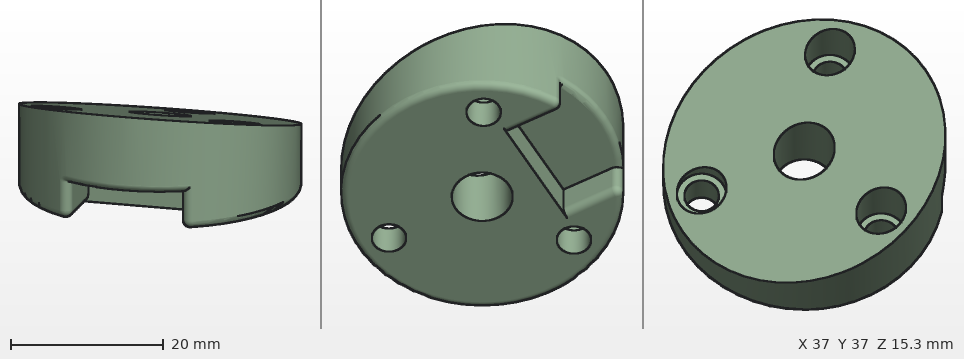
import cadquery as cq
import math

diameter = 37.0
radius = diameter / 2
front_height = 15.28
top_tilt = 15.0
edge_radius = 1.0

bore_diameter = 8.0
screw_circle_radius = 14.0
screw_angles = (90, 210, 330)
screw_diameter = 4.5
counterbore_diameter = 6.5
counterbore_floor = 5.0

notch_width = 15.02
notch_height = 5.0
notch_back_y = -8.0


def wedge_disc():
    """Round disc with a rounded bottom rim, cut off by a top plane that falls toward +Y."""
    back_height = front_height - diameter * math.tan(math.radians(top_tilt))
    disc = cq.Workplane("XY").circle(radius).extrude(front_height)
    wedge = (
        cq.Workplane("YZ")
        .polyline([(-radius, 0), (radius, 0), (radius, back_height), (-radius, front_height)])
        .close()
        .extrude(radius, both=True)
    )
    return disc.intersect(wedge)


def cut_notch(body):
    """Cut the flat-backed channel that opens through the -Y side and the bottom."""
    length = radius + notch_back_y
    channel = (
        cq.Workplane("XY")
        .center(0, notch_back_y - length / 2)
        .rect(notch_width, length)
        .extrude(notch_height)
    )
    return body.cut(channel)


def round_edges(body):
    """Round the bottom rim, the mouth of the notch and the bottom edges of its side walls."""
    half_width = notch_width / 2
    mouth_y = -math.sqrt(radius**2 - half_width**2)
    edge_points = [(0, radius, 0), (0, -radius, notch_height)]
    for x in (-half_width, half_width):
        edge_points.append((x, mouth_y, notch_height / 2))
        edge_points.append((x, (mouth_y + notch_back_y) / 2, 0))
    edges = body.newObject([])
    for point in edge_points:
        edges = edges.add(body.edges(cq.selectors.NearestToPointSelector(point)))
    return edges.fillet(edge_radius)


def cut_holes(body):
    """Cut the central bore and the counterbored screw holes, all parallel to Z."""
    body = body.cut(cq.Workplane("XY").circle(bore_diameter / 2).extrude(front_height))
    for angle in screw_angles:
        x = screw_circle_radius * math.cos(math.radians(angle))
        y = screw_circle_radius * math.sin(math.radians(angle))
        base = cq.Workplane("XY").center(x, y)
        body = body.cut(base.circle(screw_diameter / 2).extrude(front_height))
        seat = base.workplane(offset=counterbore_floor).circle(counterbore_diameter / 2)
        body = body.cut(seat.extrude(front_height))
    return body


result = cut_holes(round_edges(cut_notch(wedge_disc())))